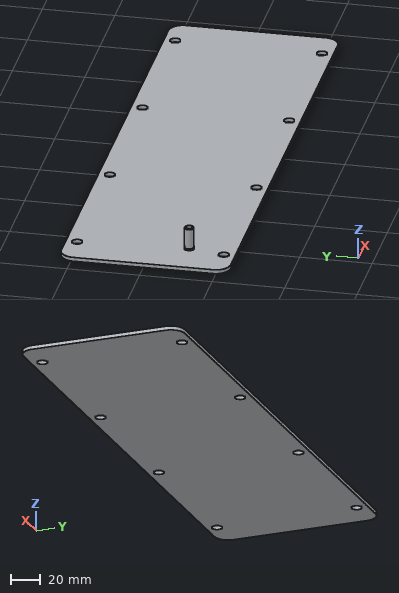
import cadquery as cq

plate_length = 376.0
plate_width = 117.0
plate_thickness = 3.0
corner_radius = 10.0

holes_per_row = 4
hole_pitch = 108.5
row_spacing = 101.0
hole_diameter = 7.0

overall_height = 19.0
stud_diameter = 6.5
stud_chamfer = 0.8
flange_diameter = 6.8
flange_height = 1.0
stud_x = 29.7 - plate_length / 2
stud_y = 32.7 - plate_width / 2


def make_plate():
    """Rounded rectangular plate with its underside at Z = 0."""
    plate = cq.Workplane("XY").box(
        plate_length, plate_width, plate_thickness, centered=(True, True, False)
    )
    plate = plate.edges("|Z").fillet(corner_radius)
    return (
        plate.faces(">Z")
        .workplane(origin=(0, 0, plate_thickness))
        .rarray(hole_pitch, row_spacing, holes_per_row, 2)
        .hole(hole_diameter)
    )


def make_stud():
    """Round stud with a chamfered tip and a thin flange at its foot, rooted at the underside of the plate."""
    base = cq.Workplane("XY").center(stud_x, stud_y)
    shank = base.circle(stud_diameter / 2).extrude(overall_height)
    shank = shank.faces(">Z").chamfer(stud_chamfer)
    flange = base.circle(flange_diameter / 2).extrude(plate_thickness + flange_height)
    return shank.union(flange)


result = make_plate().union(make_stud())